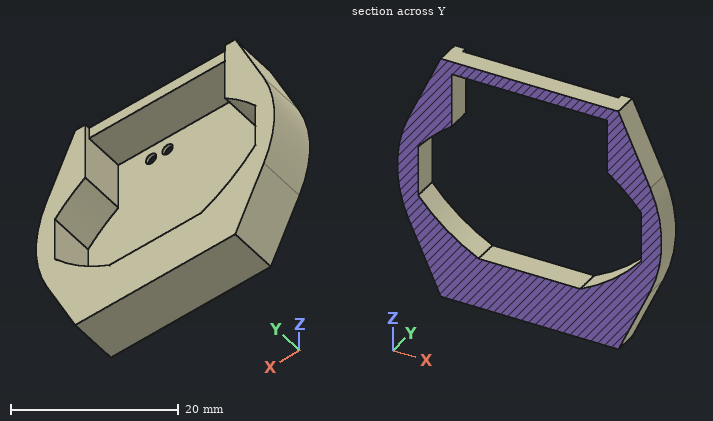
import cadquery as cq

width = 36.22
depth = 6.88
height = 33.5
flat_width = 24.35
arc_half_height = 7.3
arc_half_width = 16.5

front_wall = 0.5
top_wall = 1.8
notch_depth = 0.72
neck_width = 21.22

chamber_flat_width = 13.9
chamber_half_height = 9.78
chamber_width = 30.42
shoulder_mid_x = 11.23
shoulder_mid_z = 7.17
chamber_side_half_height = 3.4

hole_diameter = 1.55
hole_positions = (3.15, 5.65)
hole_z = 12.85


def extrude_back(sketch, start, length):
    """Extrude an XZ outline towards +Y, beginning at Y = start."""
    return sketch.extrude(-length).translate((0, start, 0))


def make_body():
    top = height / 2
    half_flat = flat_width / 2
    outline = (
        cq.Workplane("XZ")
        .moveTo(-half_flat, -top)
        .lineTo(half_flat, -top)
        .lineTo(arc_half_width, -arc_half_height)
        .threePointArc((width / 2, 0), (arc_half_width, arc_half_height))
        .lineTo(half_flat, top)
        .lineTo(-half_flat, top)
        .lineTo(-arc_half_width, arc_half_height)
        .threePointArc((-width / 2, 0), (-arc_half_width, -arc_half_height))
        .close()
    )
    return extrude_back(outline, -depth / 2, depth)


def make_chamber():
    """Central chamber with gently curved shoulders above and below."""
    flat_x = chamber_flat_width / 2
    side_x = chamber_width / 2
    flat_z = chamber_half_height
    side_z = chamber_side_half_height
    mid_x = shoulder_mid_x
    mid_z = shoulder_mid_z
    outline = (
        cq.Workplane("XZ")
        .moveTo(-flat_x, -flat_z)
        .lineTo(flat_x, -flat_z)
        .threePointArc((mid_x, -mid_z), (side_x, -side_z))
        .lineTo(side_x, side_z)
        .threePointArc((mid_x, mid_z), (flat_x, flat_z))
        .lineTo(-flat_x, flat_z)
        .threePointArc((-mid_x, mid_z), (-side_x, side_z))
        .lineTo(-side_x, -side_z)
        .threePointArc((-mid_x, -mid_z), (-flat_x, -flat_z))
        .close()
    )
    return extrude_back(outline, front_wall - depth / 2, depth - front_wall)


def make_neck(top_z, length):
    """Straight-sided cut from mid-height up to top_z, open at the back."""
    outline = cq.Workplane("XZ").center(0, top_z / 2).rect(neck_width, top_z)
    return extrude_back(outline, depth / 2 - length, length)


def make_holes():
    points = [(x, hole_z) for x in hole_positions]
    circles = cq.Workplane("XZ").pushPoints(points).circle(hole_diameter / 2)
    return extrude_back(circles, -depth / 2, depth)


neck = make_neck(height / 2 - top_wall, depth - front_wall)
top_notch = make_neck(height / 2, notch_depth)

result = make_body().cut(make_chamber()).cut(neck).cut(top_notch).cut(make_holes())